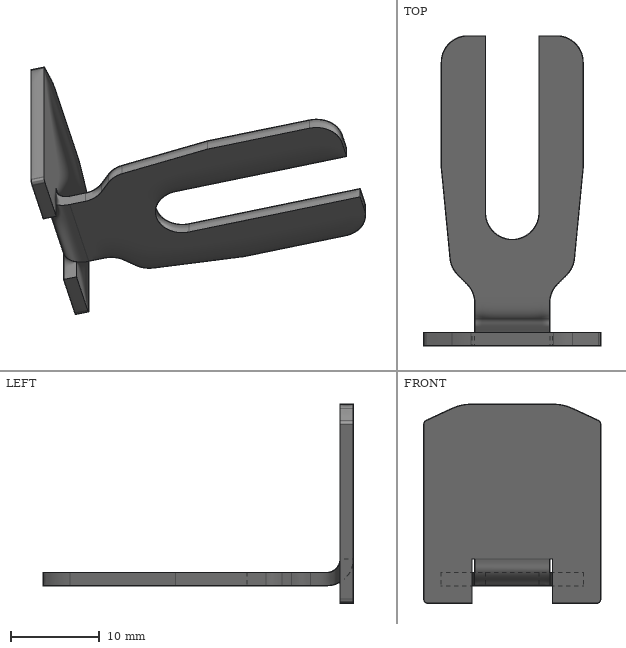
import cadquery as cq
import math

thickness = 1.5
total_length = 35.0

plate_width = 20.0
plate_height = 22.5
plate_corner_radius = 0.5
shoulder_half_width = 5.78
shoulder_angle = 25.0
shoulder_radius = 5.0
notch_width = 9.03
notch_height = 5.0

neck_width = 8.47
bend_outer_radius = 3.0
bend_inner_radius = bend_outer_radius - thickness
fork_bottom = notch_height - bend_outer_radius

fork_width = 16.03
fork_radius = 3.0
neck_end_y = 6.1
flare_end_y = 8.8
taper_end_y = 20.1
slot_width = 6.02
slot_bottom_y = 12.0


def make_plate():
    """Upright plate with sloped upper shoulders and a notch in its lower edge."""
    half = plate_width / 2
    slope_drop = (half - shoulder_half_width) * math.tan(math.radians(shoulder_angle))
    side_top = plate_height - slope_drop
    plate = (
        cq.Workplane("XZ")
        .polyline([
            (-half, 0),
            (half, 0),
            (half, side_top),
            (shoulder_half_width, plate_height),
            (-shoulder_half_width, plate_height),
            (-half, side_top),
        ])
        .close()
        .extrude(-thickness)
    )
    plate = plate.edges("|Y and (<X or >X)").fillet(plate_corner_radius)
    plate = plate.faces(">Z").edges("|Y").fillet(shoulder_radius)
    notch = cq.Workplane("XY").box(
        notch_width, thickness, notch_height, centered=(True, False, False)
    )
    return plate.cut(notch)


def make_bend():
    """Quarter-round bend from the top of the notch down to the fork."""
    diagonal = math.sqrt(0.5)
    center_y = bend_outer_radius
    outer_mid = bend_outer_radius * (1 - diagonal)
    inner_mid = bend_inner_radius * diagonal
    return (
        cq.Workplane("YZ")
        .moveTo(0, notch_height)
        .threePointArc((outer_mid, fork_bottom + outer_mid), (center_y, fork_bottom))
        .lineTo(center_y, fork_bottom + thickness)
        .threePointArc(
            (center_y - inner_mid, notch_height - inner_mid),
            (thickness, notch_height),
        )
        .close()
        .extrude(neck_width / 2, both=True)
    )


def make_fork():
    """Flat fork that flares out from the neck and has an open round-ended slot."""
    neck_half = neck_width / 2
    flare_half = neck_half + flare_end_y - neck_end_y
    fork_half = fork_width / 2
    right_side = [
        (neck_half, bend_outer_radius),
        (neck_half, neck_end_y),
        (flare_half, flare_end_y),
        (fork_half, taper_end_y),
        (fork_half, total_length),
    ]
    left_side = [(-x, y) for x, y in reversed(right_side)]
    blank = (
        cq.Workplane("XY", origin=(0, 0, fork_bottom))
        .polyline(right_side + left_side)
        .close()
        .extrude(thickness)
    )
    blank = blank.edges("|Z").edges("not <Y").fillet(fork_radius)

    slot_radius = slot_width / 2
    slot_center_y = slot_bottom_y + slot_radius
    slot = (
        cq.Workplane("XY", origin=(0, 0, fork_bottom))
        .moveTo(-slot_radius, total_length)
        .lineTo(-slot_radius, slot_center_y)
        .threePointArc((0, slot_bottom_y), (slot_radius, slot_center_y))
        .lineTo(slot_radius, total_length)
        .close()
        .extrude(thickness)
    )
    return blank.cut(slot)


result = make_plate().union(make_bend()).union(make_fork())